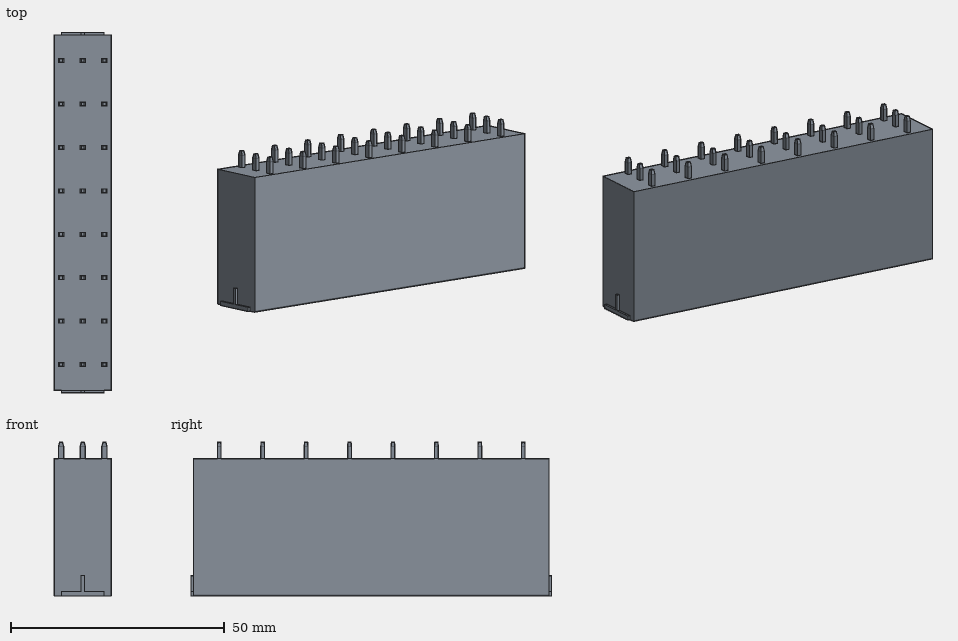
import cadquery as cq

total_length = 84.3
total_height = 36.0

body_width = 13.4
body_height = 32.1
rail_projection = 0.6
body_length = total_length - 2 * rail_projection
bottom_fillet = 0.25

pin_columns = 3
pin_rows = 8
column_pitch = 5.1
column_span = column_pitch * (pin_columns - 1)
row_span = 71.1
row_pitch = row_span / (pin_rows - 1)
pin_width = 1.3
pin_thickness = 0.9
tip_width = 0.7
tip_thickness = 0.8
tip_height = 1.0
shoulder_height = total_height - body_height - tip_height

foot_width = 9.95
foot_height = 1.0
rib_width = 0.8
rib_height = 4.8


def standing_box(width, length, height):
    """Box centred on X and Y with its underside on Z = 0."""
    return cq.Workplane("XY").box(width, length, height, centered=(True, True, False))


def make_body():
    """Plain block with its two long bottom edges slightly rounded."""
    block = standing_box(body_width, body_length, body_height)
    return block.edges("<Z and |Y").fillet(bottom_fillet)


def make_end_rails():
    """Foot and rib running through the body so that they project from both ends."""
    foot = standing_box(foot_width, total_length, foot_height)
    rib = standing_box(rib_width, total_length, rib_height)
    return foot.union(rib)


def make_pin():
    """Flat pin with a tapered tip, rising from the top of the body."""
    shoulder = standing_box(pin_width, pin_thickness, shoulder_height)
    tip = (
        cq.Workplane("XY", origin=(0, 0, shoulder_height))
        .rect(pin_width, pin_thickness)
        .workplane(offset=tip_height)
        .rect(tip_width, tip_thickness)
        .loft(ruled=True)
    )
    return shoulder.union(tip).translate((0, 0, body_height))


result = make_body().union(make_end_rails())

pin = make_pin()
for column in range(pin_columns):
    for row in range(pin_rows):
        x = column * column_pitch - column_span / 2
        y = row * row_pitch - row_span / 2
        result = result.union(pin.translate((x, y, 0)))